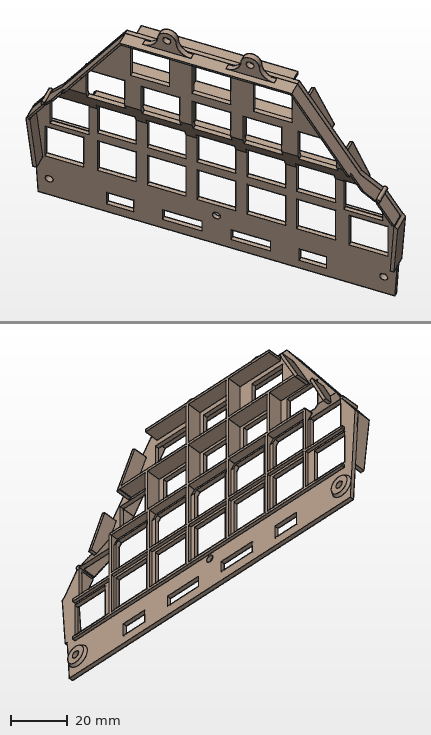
import cadquery as cq
import math


sheet_thickness = 1.7
lower_sheet_rear = 1.3
upper_sheet_rear = 6.0
step_bottom = 50.5
step_top = 61.4
step_angle = math.atan2(upper_sheet_rear - lower_sheet_rear, step_top - step_bottom)

bottom_half_width = 68.4
corner_half_width = 70.6
corner_height = 41.0
top_half_width = 33.0
top_height = 97.4
envelope_half_width = 85.5

flange_setback = 0.07
flange_thickness = 0.78
flange_front_low = 8.7
flange_front_mid = 11.4
flange_front_top = 13.0
flange_front_max = 13.1
flange_slope_top = 57.0
flange_notch_height = 64.1

left_wall_thickness = 1.5
right_wall_thickness = 1.1
right_wall_overlap = 0.3
side_wall_bottom = 18.1
left_wall_taper = 2.5
right_wall_taper = 1.4

bead_x = 64.1
bead_z = 51.1
bead_radius = 0.9

key_size = 14.8
key_pitch = 19.1
row_1_z = 84.5
row_2_z = 65.7
row_3_z = 45.5
row_4_z = 26.8
row_1_pitch = 23.5
row_2_pitch = 19.5
row_2_outer = (40.6, 66.1)
row_3_outer = (56.3, 43.5)
row_4_outer = (58.2, 26.3)
small_slot = (10.4, 5.7)
large_slot = (15.1, 4.8)
small_slot_x = 36.9
large_slot_x = 13.1
slot_z = 6.7
hole_diameter = 3.0
side_hole = (64.1, 8.0)
centre_hole_z = 14.1
boss_base_radius = 4.5
boss_tip_radius = 3.8

lug_x = 16.0
lug_radius = 3.5
lug_top = 106.2
lug_rear = 8.1
lug_thickness = 2.3
lug_hole_z = lug_top - lug_radius
lug_flare_width = 5.7
lug_flare_height = lug_hole_z - top_height

rib = 1.21
top_rib_z = 94.7
row_12_rib_z = 75.0
row_23_rib_z = 55.4
row_34_rib_z = 36.0
row_45_rib_z = 17.0
top_rib_half_length = 30.0
outer_34_rib_z = 35.2
column_1_rib_x = row_2_pitch / 2
column_2_rib_upper_x = 29.6
column_2_rib_lower_x = 1.5 * key_pitch
column_3_rib_x = 47.3
long_rib_half_length = 65.5
wing_upper = ((36.3, 89.7), (44.0, 74.2))
wing_lower = ((51.0, 68.2), (57.7, 53.8))


def front_plate(points, rear, front):
    """Prism of an X-Z outline between two depths."""
    return cq.Workplane("XZ", origin=(0, -rear, 0)).polyline(points).close().extrude(front - rear)


def box(x_min, x_max, z_min, z_max, rear, front):
    points = [(x_min, z_min), (x_max, z_min), (x_max, z_max), (x_min, z_max)]
    return front_plate(points, rear, front)


def side_profile(points):
    """Full-width prism of an outline given as (depth, height) points."""
    outline = [(-depth, height) for depth, height in points]
    return cq.Workplane("YZ").polyline(outline).close().extrude(envelope_half_width, both=True)


def plate_outline(inset=0.0):
    """Six-cornered outline; the inset moves the top and the two long slanted edges inwards."""
    run = corner_half_width - top_half_width
    rise = top_height - corner_height
    slant_shift = inset * math.hypot(run, rise) / rise
    top_x = top_half_width - slant_shift + inset * run / rise
    corner_x = corner_half_width - slant_shift
    half = [(bottom_half_width, 0), (corner_x, corner_height), (top_x, top_height - inset)]
    return half + [(-x, z) for x, z in reversed(half)]


def make_sheet():
    rear_line = [
        (lower_sheet_rear, 0),
        (lower_sheet_rear, step_bottom),
        (upper_sheet_rear, step_top),
        (upper_sheet_rear, top_height),
    ]
    bend_drop = sheet_thickness * math.tan(step_angle / 2)
    front_line = [
        (lower_sheet_rear + sheet_thickness, 0),
        (lower_sheet_rear + sheet_thickness, step_bottom - bend_drop),
        (upper_sheet_rear + sheet_thickness, step_top - bend_drop),
        (upper_sheet_rear + sheet_thickness, top_height),
    ]
    profile = side_profile(rear_line + front_line[::-1])
    return profile.intersect(front_plate(plate_outline(), 0, flange_front_max))


def make_flange():
    inner_inset = flange_setback + flange_thickness
    band = front_plate(plate_outline(flange_setback), 0, flange_front_max)
    band = band.cut(front_plate(plate_outline(inner_inset), 0, flange_front_max))
    return band.intersect(
        side_profile(
            [
                (lower_sheet_rear, corner_height),
                (lower_sheet_rear, step_bottom),
                (upper_sheet_rear, step_top),
                (upper_sheet_rear, top_height),
                (flange_front_top, top_height),
                (flange_front_max, flange_notch_height),
                (flange_front_mid, flange_notch_height),
                (flange_front_mid, flange_slope_top),
                (flange_front_low, step_bottom),
                (flange_front_low, corner_height),
            ]
        )
    )


def make_side_walls():
    left_top = -corner_half_width
    left_bottom = left_top + left_wall_taper
    left = [
        (left_top, corner_height),
        (left_top + left_wall_thickness, corner_height),
        (left_bottom + left_wall_thickness, side_wall_bottom),
        (left_bottom, side_wall_bottom),
    ]
    right_top = corner_half_width
    right_bottom = right_top - right_wall_taper
    right = [
        (right_top - right_wall_overlap, corner_height),
        (right_top, corner_height),
        (right_top + right_wall_thickness, corner_height - right_wall_thickness),
        (right_bottom + right_wall_thickness, side_wall_bottom),
        (right_bottom - right_wall_overlap, side_wall_bottom),
    ]
    walls = front_plate(left, lower_sheet_rear, flange_front_low)
    return walls.union(front_plate(right, lower_sheet_rear, flange_front_low))


def make_beads():
    beads = cq.Workplane("XZ", origin=(0, -lower_sheet_rear, 0))
    beads = beads.pushPoints([(-bead_x, bead_z), (bead_x, bead_z)]).circle(bead_radius)
    return beads.extrude(flange_front_low - lower_sheet_rear)


def make_lug(x):
    foot = lug_radius + lug_flare_width
    flare_mid = foot - lug_flare_width * math.sqrt(0.5)
    flare_mid_z = lug_hole_z - lug_flare_height * math.sqrt(0.5)
    return (
        cq.Workplane("XZ", origin=(x, -lug_rear, 0))
        .moveTo(-foot, top_height)
        .threePointArc((-flare_mid, flare_mid_z), (-lug_radius, lug_hole_z))
        .threePointArc((0, lug_top), (lug_radius, lug_hole_z))
        .threePointArc((flare_mid, flare_mid_z), (foot, top_height))
        .lineTo(foot, top_height - flange_thickness)
        .lineTo(-foot, top_height - flange_thickness)
        .close()
        .extrude(lug_thickness)
    )


def make_boss(x):
    boss = cq.Workplane("XZ", origin=(x, 0, side_hole[1])).circle(boss_tip_radius)
    return boss.workplane(offset=lower_sheet_rear).circle(boss_base_radius).loft()


def make_ribs():
    """Thin ribs behind the sheet, each running forward until it meets the sheet."""
    depth = upper_sheet_rear + sheet_thickness / 2
    half = rib / 2

    def level(x_min, x_max, z):
        return box(x_min, x_max, z - half, z + half, 0, depth)

    def upright(x, z_min, z_max):
        return box(x - half, x + half, z_min, z_max, 0, depth)

    def wing(side, ends):
        (x_top, z_top), (x_low, z_low) = ends
        run = x_top - x_low
        rise = z_top - z_low
        length = math.hypot(run, rise)
        shift_x = rib * rise / length
        shift_z = rib * run / length
        points = [
            (x_top, z_top),
            (x_low, z_low),
            (x_low - rib * length / rise, z_low),
            (x_top - shift_x, z_top + shift_z),
        ]
        return front_plate([(side * x, z) for x, z in points], 0, depth)

    ribs = level(-top_rib_half_length, top_rib_half_length, top_rib_z)
    for reach, z in (
        (wing_upper[1][0] - rib, row_12_rib_z),
        (column_3_rib_x, row_23_rib_z),
        (column_3_rib_x, row_34_rib_z),
        (long_rib_half_length, row_45_rib_z),
    ):
        ribs = ribs.union(level(-reach, reach, z))

    for side in (-1, 1):
        uprights = (
            (column_1_rib_x, row_45_rib_z, top_rib_z),
            (column_2_rib_upper_x, row_23_rib_z, row_12_rib_z),
            (column_2_rib_lower_x, row_45_rib_z, row_23_rib_z),
            (column_3_rib_x, row_45_rib_z, row_23_rib_z),
        )
        for x, z_min, z_max in uprights:
            ribs = ribs.union(upright(side * x, z_min, z_max))
        inner, outer = sorted((side * column_3_rib_x, side * long_rib_half_length))
        ribs = ribs.union(level(inner, outer, outer_34_rib_z))
        ribs = ribs.union(wing(side, wing_upper)).union(wing(side, wing_lower))

    behind_sheet = side_profile(
        [
            (0, 0),
            (lower_sheet_rear + sheet_thickness / 2, 0),
            (lower_sheet_rear + sheet_thickness / 2, step_bottom),
            (depth, step_top),
            (depth, top_height),
            (0, top_height),
        ]
    )
    return ribs.intersect(behind_sheet)


def cut_rectangles(body, centres, width, height):
    cutter = cq.Workplane("XZ").pushPoints(centres).rect(width, height)
    return body.cut(cutter.extrude(flange_front_max))


def mirrored(point):
    x, z = point
    return [(-x, z), (x, z)]


key_centres = [(column * row_1_pitch, row_1_z) for column in (-1, 0, 1)]
key_centres += [(column * row_2_pitch, row_2_z) for column in (-1, 0, 1)]
for row_z in (row_3_z, row_4_z):
    key_centres += [(column * key_pitch, row_z) for column in range(-2, 3)]
for outer_key in (row_2_outer, row_3_outer, row_4_outer):
    key_centres += mirrored(outer_key)

result = make_sheet().union(make_ribs()).union(make_flange()).union(make_side_walls()).union(make_beads())
for side in (-1, 1):
    result = result.union(make_lug(side * lug_x)).union(make_boss(side * side_hole[0]))

result = cut_rectangles(result, key_centres, key_size, key_size)
result = cut_rectangles(result, mirrored((small_slot_x, slot_z)), *small_slot)
result = cut_rectangles(result, mirrored((large_slot_x, slot_z)), *large_slot)

round_holes = mirrored(side_hole) + mirrored((lug_x, lug_hole_z)) + [(0, centre_hole_z)]
drill = cq.Workplane("XZ").pushPoints(round_holes).circle(hole_diameter / 2).extrude(flange_front_max)
result = result.cut(drill)